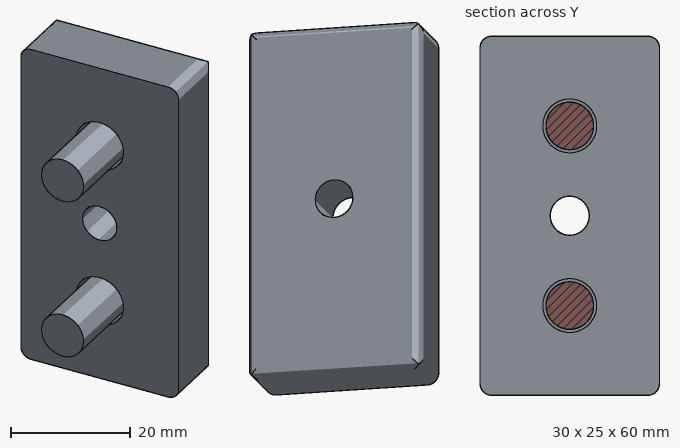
import cadquery as cq

length = 60.0
width = length / 2
thickness = length / 5
edge_radius = 2.0

pin_diameter = 8.0
pin_projection = 13.0
pin_spacing = length / 2
recess_diameter = 9.0
recess_depth = 6.0

hole_diameter = 6.5


def cylinder_along_y(diameter, start_y, end_y, z=0.0):
    """Solid cylinder on the X = 0 plane between two Y positions."""
    return cq.Workplane("XZ", origin=(0, end_y, z)).circle(diameter / 2).extrude(end_y - start_y)


def block_rounded_along(edges):
    """Full block with only the selected parallel edges rounded."""
    block = cq.Workplane("XY").box(width, thickness, length, centered=(True, False, True))
    return block.edges(edges).fillet(edge_radius)


block = block_rounded_along("|Y")
for back_edges in ("|X and >Y", "|Z and >Y"):
    block = block.intersect(block_rounded_along(back_edges))

result = block.cut(cylinder_along_y(hole_diameter, 0, thickness))

for pin_z in (-pin_spacing / 2, pin_spacing / 2):
    recess = cylinder_along_y(recess_diameter, 0, recess_depth, pin_z)
    pin = cylinder_along_y(pin_diameter, -pin_projection, recess_depth, pin_z)
    result = result.cut(recess).union(pin)